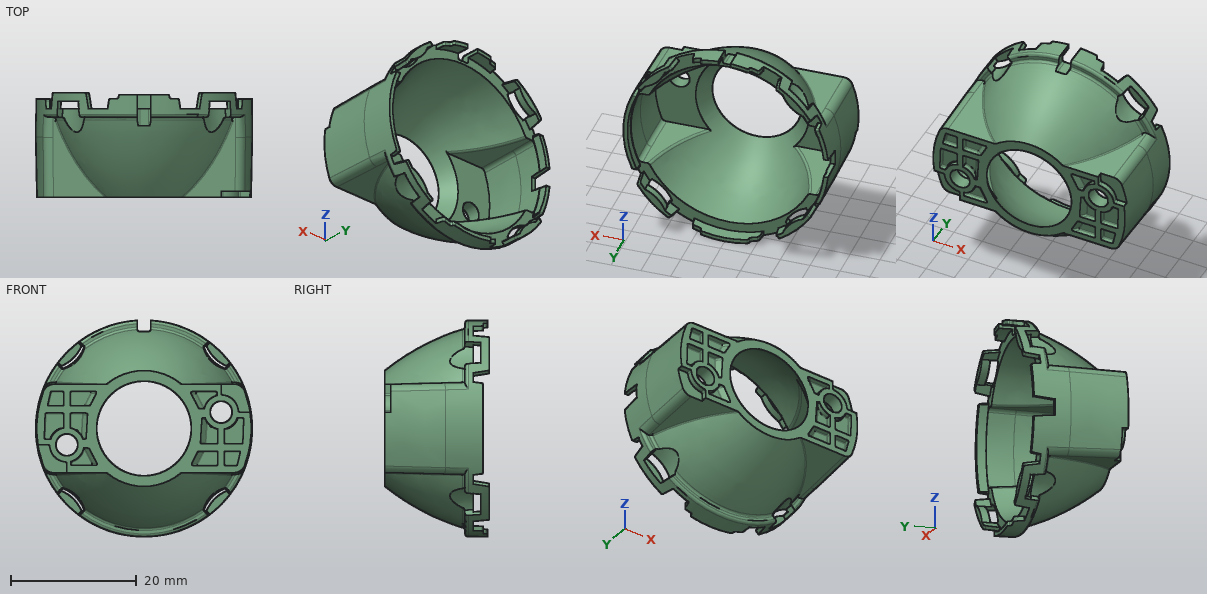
import cadquery as cq
import math


bore_radius = 7.5
neck_radius = 9.2
bowl_mid_radius, bowl_mid_y = 14.0, 7.73
bowl_top_radius = 15.8
inner_mid_radius, inner_mid_y = 12.8, 7.9
inner_top_radius = 14.9

rim_radius = 17.215
rim_inner_radius = 16.5
gap_inner_radius = 16.0
flange_y = 12.75
flange_edge_round = 0.5
flange_root_fillet = 0.4
rim_base_y = 14.1

ear_half_width, ear_half_width_top = 7.0, 7.35
ear_radius = 17.03
ear_draft_top_y = 9.6
ear_corner_radius = 1.65
ear_wall = 0.8
ear_root_fillet = 0.25
cavity_seam_round = 0.5
plate_thickness = 2.4

tab_corner_radius = 0.3
ear_tab_half_base, ear_tab_half_top, ear_tab_y = 7.4, 7.2, 15.65
wide_tab_half_base, wide_tab_half_top, wide_tab_y = 5.8, 5.55, 15.7
wide_tab_step_half, wide_tab_tip_y = 4.05, 16.34
clip_half_base, clip_half_top, clip_tip_y = 4.2, 3.75, 16.63
clip_angles = [45 + 90 * i for i in range(4)]

window_half_top, window_top_y = 2.25, 15.25
window_half_bottom, window_bottom_y = 2.9, 9.5
relief_axis_offset = 21.06
relief_radius_bottom, relief_radius_top = 6.0, 5.66
hook_reach = 15.83
hook_radius = 6.0

slot_width, slot_floor_z, slot_start_y, slot_corner_radius = 2.1, 15.4, 11.36, 0.35
notch_half_bottom, notch_half_top, notch_y = 1.3, 1.65, 12.2

hole_x, hole_z, hole_radius = -12.26, -2.6, 1.72
boss_radius = 2.73
step_depth = 0.98
step_corner_radius = 0.3
pocket_depth = 0.9
pocket_corner_radius = 0.25
pocket_floor_round = 0.1

BIG = 40.0
select_margin = 0.1


def revolved(profile, axis_z=0):
    """Turn an (r, y) wire about the axis parallel to Y at the given Z."""
    return profile.revolve(360, (0, 0, 0), (0, 1, 0)).translate((0, 0, axis_z))


def cone(radius_start, radius_end, y_start, y_end, axis_z=0):
    corners = [(0, y_start), (radius_start, y_start), (radius_end, y_end), (0, y_end)]
    return revolved(cq.Workplane("XY").polyline(corners).close(), axis_z)


def turned(body, angle):
    return body.rotate((0, 0, 0), (0, 1, 0), angle)


def plan(y):
    """Workplane at height y whose axes are X and Z; extrude by a negative length to go toward +Y."""
    return cq.Workplane("XZ", origin=(0, y, 0))


def bowl_outside():
    """Solid bowl with a flange that has a concave root and a rounded outer edge."""
    root_mid = flange_root_fillet * (1 - math.sqrt(0.5))
    edge_mid = flange_edge_round * (1 - math.sqrt(0.5))
    profile = (
        cq.Workplane("XY")
        .moveTo(0, 0)
        .lineTo(neck_radius, 0)
        .threePointArc((bowl_mid_radius, bowl_mid_y), (bowl_top_radius, flange_y - flange_root_fillet))
        .threePointArc(
            (bowl_top_radius + root_mid, flange_y - root_mid),
            (bowl_top_radius + flange_root_fillet, flange_y),
        )
        .lineTo(rim_radius - flange_edge_round, flange_y)
        .threePointArc(
            (rim_radius - edge_mid, flange_y + edge_mid),
            (rim_radius, flange_y + flange_edge_round),
        )
        .lineTo(rim_radius, clip_tip_y)
        .lineTo(0, clip_tip_y)
        .close()
    )
    return revolved(profile)


def ear_block(inset, y_start):
    """Drafted slab across the bowl with a drafted round outside, reaching to the rim base."""
    slab = (
        plan(0)
        .rect(BIG, 2 * (ear_half_width - inset))
        .workplane(offset=-rim_base_y)
        .rect(BIG, 2 * (ear_half_width_top - inset))
        .loft(ruled=True)
    )
    outside = revolved(
        cq.Workplane("XY")
        .moveTo(0, 0)
        .lineTo(ear_radius - inset, 0)
        .lineTo(rim_radius - inset, ear_draft_top_y)
        .lineTo(rim_radius - inset, rim_base_y)
        .lineTo(0, rim_base_y)
        .close()
    )
    block = slab.intersect(turned(outside, 90))
    between_ends = cq.selectors.BoxSelector((-BIG, select_margin, -BIG), (BIG, rim_base_y - select_margin, BIG))
    block = block.edges(between_ends).edges("not(>X or <X)").fillet(ear_corner_radius - inset)
    return block.intersect(plan(y_start).rect(BIG, BIG).extrude(-BIG))


def rounded_seams(body, radius):
    """Fillet the four curves where the flat ear sides meet the bowl."""
    midway = cq.selectors.BoxSelector(
        (-bowl_mid_radius, bowl_mid_y / 2, -bowl_mid_radius),
        (bowl_mid_radius, bowl_mid_y + select_margin * 5, bowl_mid_radius),
    )
    return body.edges(midway).fillet(radius)


def tab(outline):
    """Block at +Z, wider than the rim wall, with the tab outline and rounded upper corners."""
    block = cq.Workplane("XY", origin=(0, 0, inner_top_radius)).polyline(outline).close().extrude(BIG)
    above_base = cq.selectors.BoxSelector((-BIG, rim_base_y + select_margin, -BIG), (BIG, BIG, 2 * BIG))
    return block.edges("|Z").edges(above_base).fillet(tab_corner_radius)


def trapezoid(half_bottom, half_top, y_bottom, y_top):
    return [(-half_bottom, y_bottom), (half_bottom, y_bottom), (half_top, y_top), (-half_top, y_top)]


def wide_tab():
    half = [
        (wide_tab_half_base, rim_base_y),
        (wide_tab_half_top, wide_tab_y),
        (wide_tab_step_half, wide_tab_y),
        (wide_tab_step_half, wide_tab_tip_y),
    ]
    return tab(half + [(-u, y) for u, y in reversed(half)])


def ear_tab():
    return tab(trapezoid(ear_tab_half_base, ear_tab_half_top, rim_base_y, ear_tab_y))


def clip_tab():
    return tab(trapezoid(clip_half_base, clip_half_top, rim_base_y, clip_tip_y))


def rim_gaps():
    """Everything between and above the tabs, as a cutter around the rim wall."""
    gaps = plan(rim_base_y).circle(BIG / 2).circle(gap_inner_radius).extrude(-BIG)
    for angle in (0, 180):
        gaps = gaps.cut(turned(wide_tab(), angle)).cut(turned(ear_tab(), angle + 90))
    for angle in clip_angles:
        gaps = gaps.cut(turned(clip_tab(), angle))
    return gaps


def clip_hook():
    """Lens-shaped ridge at +Z on the inside of a clip tip, sunk halfway into the rim wall."""
    height = clip_tip_y - window_top_y
    ridge = plan(window_top_y).center(0, hook_reach + hook_radius).circle(hook_radius).extrude(-height)
    sunk_radius = (rim_inner_radius + rim_radius) / 2
    return ridge.intersect(plan(window_top_y).circle(sunk_radius).extrude(-height))


def clip_window():
    """Tapered window at +Z that runs down into a rounded relief in the bowl."""
    outline = trapezoid(window_half_bottom, window_half_top, window_bottom_y, window_top_y)
    opening = cq.Workplane("XY").polyline(outline).close().extrude(BIG)
    relief = cone(
        relief_radius_bottom, relief_radius_top, window_bottom_y, window_top_y, relief_axis_offset
    )
    return opening.intersect(relief)


def bowl_inside():
    profile = (
        cq.Workplane("XY")
        .moveTo(0, 0)
        .lineTo(bore_radius, 0)
        .threePointArc((inner_mid_radius, inner_mid_y), (inner_top_radius, rim_base_y))
        .lineTo(rim_inner_radius, rim_base_y)
        .lineTo(rim_inner_radius, clip_tip_y)
        .lineTo(0, clip_tip_y)
        .close()
    )
    return revolved(profile)


def key_slot():
    height = BIG - slot_floor_z
    slot = cq.Workplane("XY").box(slot_width, BIG, height, centered=(True, False, False))
    slot = slot.edges("|Y and <Z").fillet(slot_corner_radius)
    return slot.translate((0, slot_start_y, slot_floor_z))


def side_notch():
    outline = trapezoid(notch_half_bottom, notch_half_top, notch_y, ear_tab_y)
    notch = cq.Workplane("XY").polyline(outline).close().extrude(BIG)
    return turned(notch, -90)


def pocket(corners, slopes):
    """Plate pocket; each corner moves in X by its slope on the way to the floor."""
    floor = [(x + slope, z) for (x, z), slope in zip(corners, slopes)]
    body = (
        plan(0).polyline(corners).close()
        .workplane(offset=-pocket_depth).polyline(floor).close()
        .loft(ruled=True)
    )
    return body.edges("not #Y").fillet(pocket_corner_radius)


def plate_pockets():
    upper_z, upper_low_z = 5.9, 3.58
    middle_z, middle_low_z = 2.46, -1.7
    lower_z = -5.88
    outer_column_x, inner_column_x = -12.75, -11.73
    pockets = [
        pocket([(-14.8, upper_z), (outer_column_x, upper_z),
                (outer_column_x, upper_low_z), (-15.35, upper_low_z)], [0, 0, 0, 0]),
        pocket([(inner_column_x, upper_z), (-7.4, upper_z),
                (-8.6, upper_low_z), (inner_column_x, upper_low_z)], [0, -0.9, -0.9, 0]),
        pocket([(-15.7, middle_z), (outer_column_x, middle_z),
                (outer_column_x, middle_low_z), (-15.85, middle_low_z)], [0, 0, 0, 0]),
        pocket([(inner_column_x, middle_z), (-8.95, middle_z),
                (-9.2, middle_low_z), (inner_column_x, middle_low_z)], [0, -0.8, -0.8, 0]),
        pocket([(-11.6, -3.1), (-8.75, -3.1), (-7.3, lower_z), (-11.6, lower_z)], [0, -0.8, -0.8, 0]),
    ]
    boss = plan(0).center(hole_x, hole_z).circle(boss_radius).extrude(-BIG)
    cutter = pockets[0]
    for other in pockets[1:]:
        cutter = cutter.union(other)
    return cutter.cut(boss).faces(">Y").edges().fillet(pocket_floor_round)


def plate_corner_step():
    corner = plan(0).center(hole_x, hole_z).rect(-BIG, -BIG, centered=False).extrude(-step_depth)
    boss = plan(0).center(hole_x, hole_z).circle(boss_radius).extrude(-step_depth)
    return corner.cut(boss).edges("|Y").fillet(step_corner_radius)


def bolt_hole():
    return plan(0).center(hole_x, hole_z).circle(hole_radius).extrude(-plate_thickness)


outside = rounded_seams(bowl_outside().union(ear_block(0, 0)), ear_root_fillet)
inside = rounded_seams(bowl_inside().union(ear_block(ear_wall, plate_thickness)), cavity_seam_round)
result = outside.cut(inside)

result = result.cut(rim_gaps())
for angle in clip_angles:
    result = result.cut(turned(clip_window(), angle))
result = result.cut(key_slot()).cut(side_notch())

plate_cutters = [plate_pockets(), plate_corner_step(), bolt_hole()]
for angle in (0, 180):
    for cutter in plate_cutters:
        result = result.cut(turned(cutter, angle))

for angle in clip_angles:
    result = result.union(turned(clip_hook(), angle))